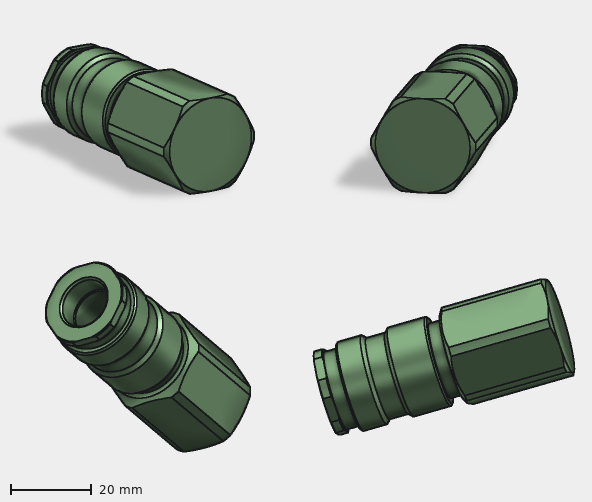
import cadquery as cq
import math

length = 60.5
flange_end = 2.4
collar_start = 5.85
groove_start = 13.4
groove_end = 18.3
collar_end = 29.4
hex_start = 32.7

front_neck_diameter = 20.0
collar_diameter = 23.0
groove_diameter = 21.0
rear_neck_diameter = 19.3

collar_chamfer = 0.5
groove_slope_length = 1.0

hex_across_flats = 24.0
hex_turn = 0.4
hex_corner_diameter = 26.5
hex_face_diameter = 22.0
hex_front_chamfer_length = 1.35
hex_rear_diameter = 23.95
hex_rear_chamfer_length = 0.7

flange_across_flats = 21.0
flange_corner_diameter = 22.0
flange_chamfer_length = 0.2
flange_chamfer_depth = 0.3

bore_diameter = 12.7
inner_bore_diameter = 12.0
bore_chamfer = 0.55
bore_step_depth = 6.05
bore_step_length = 0.25
bore_depth = 15.1


def revolve_profile(points):
    """Revolve (x, radius) points, closed along the X axis, about that axis."""
    outline = [(points[0][0], 0), *points, (points[-1][0], 0)]
    return cq.Workplane("XY").polyline(outline).close().revolve(360, (0, 0, 0), (1, 0, 0))


def hex_prism(start, end, across_flats):
    """Make a hexagonal prism along X with flats facing +Z and -Z."""
    across_corners = across_flats / math.cos(math.pi / 6)
    return cq.Workplane("YZ", origin=(start, 0, 0)).polygon(6, across_corners).extrude(end - start)


def make_flange():
    radius = flange_corner_diameter / 2
    edge_radius = radius - flange_chamfer_depth
    blank = revolve_profile([
        (0, edge_radius),
        (flange_chamfer_length, radius),
        (flange_end - flange_chamfer_length, radius),
        (flange_end, edge_radius),
    ])
    return blank.intersect(hex_prism(0, flange_end, flange_across_flats))


def make_turned_body():
    front_neck_radius = front_neck_diameter / 2
    collar_radius = collar_diameter / 2
    groove_radius = groove_diameter / 2
    rear_neck_radius = rear_neck_diameter / 2
    return revolve_profile([
        (0, front_neck_radius),
        (collar_start, front_neck_radius),
        (collar_start, collar_radius - collar_chamfer),
        (collar_start + collar_chamfer, collar_radius),
        (groove_start - groove_slope_length, collar_radius),
        (groove_start, groove_radius),
        (groove_end, groove_radius),
        (groove_end + groove_slope_length, collar_radius),
        (collar_end - collar_chamfer, collar_radius),
        (collar_end, collar_radius - collar_chamfer),
        (collar_end, rear_neck_radius),
        (hex_start, rear_neck_radius),
    ])


def make_hex_end():
    corner_radius = hex_corner_diameter / 2
    blank = revolve_profile([
        (hex_start, hex_face_diameter / 2),
        (hex_start + hex_front_chamfer_length, corner_radius),
        (length - hex_rear_chamfer_length, corner_radius),
        (length, hex_rear_diameter / 2),
    ])
    prism = hex_prism(hex_start, length, hex_across_flats).rotate((0, 0, 0), (1, 0, 0), hex_turn)
    return blank.intersect(prism)


def make_bore():
    bore_radius = bore_diameter / 2
    inner_radius = inner_bore_diameter / 2
    return revolve_profile([
        (0, bore_radius + bore_chamfer),
        (bore_chamfer, bore_radius),
        (bore_step_depth, bore_radius),
        (bore_step_depth + bore_step_length, inner_radius),
        (bore_depth, inner_radius),
    ])


result = make_turned_body().union(make_flange()).union(make_hex_end()).cut(make_bore())